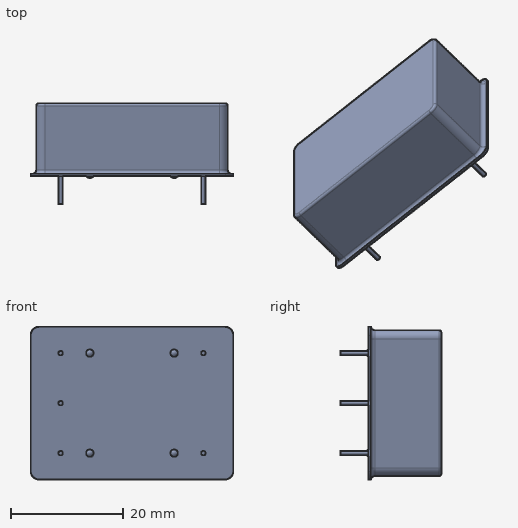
import cadquery as cq

overall_depth = 18.0
tolerance = 0.1

plate_width = 36.1
plate_height = 27.2
plate_thickness = 0.44
plate_corner_radius = 1.5

body_depth = 13.01
can_width = 34.1
can_height = 26.0
can_corner_radius = 1.5
can_edge_radius = 0.5
foot_radius = 0.7

pin_diameter = 0.8
pin_length = overall_depth - body_depth
pin_x = 12.7
pin_z = 8.9
pin_points = [(-pin_x, -pin_z), (-pin_x, 0), (-pin_x, pin_z), (pin_x, -pin_z), (pin_x, pin_z)]

dome_diameter = 1.33
dome_height = 0.35
dome_x = 7.5
dome_points = [(x, z) for x in (-dome_x, dome_x) for z in (-pin_z, pin_z)]


def block(width, height, depth):
    """Block centred on the Y axis, reaching from Y = 0 to Y = depth."""
    return cq.Workplane("XY").box(width, depth, height, centered=(True, False, True))


def rounded_block(width, height, depth, corner_radius):
    """Block with its four Y-direction edges rounded."""
    return block(width, height, depth).edges("|Y").fillet(corner_radius)


def make_body():
    """Plate and can joined by a concave fillet that is trimmed at the plate outline."""
    can = rounded_block(can_width, can_height, body_depth, can_corner_radius)
    can = can.faces(">Y").edges().fillet(can_edge_radius)

    wide_plate = block(plate_width + 2 * foot_radius, plate_height + 2 * foot_radius, plate_thickness)
    can_foot = cq.selectors.BoxSelector(
        (-can_width / 2 - tolerance, plate_thickness - tolerance, -can_height / 2 - tolerance),
        (can_width / 2 + tolerance, plate_thickness + tolerance, can_height / 2 + tolerance),
    )
    body = wide_plate.union(can).edges(can_foot).fillet(foot_radius)

    outline = rounded_block(plate_width, plate_height, body_depth, plate_corner_radius)
    return body.intersect(outline)


def make_pin():
    """Pin along the Y axis, from the plate face to its free end."""
    return cq.Workplane("XZ").circle(pin_diameter / 2).extrude(pin_length)


def make_dome():
    """Spherical cap on the plate face, with a short root sunk into the plate."""
    base_radius = dome_diameter / 2
    root_depth = plate_thickness / 2
    sphere_radius = (base_radius**2 + dome_height**2) / (2 * dome_height)
    profile = (
        cq.Workplane("XY")
        .moveTo(0, root_depth)
        .lineTo(base_radius, root_depth)
        .lineTo(base_radius, 0)
        .radiusArc((0, -dome_height), sphere_radius)
        .close()
    )
    return profile.revolve(360, (0, 0), (0, 1))


result = make_body()
for x, z in pin_points:
    result = result.union(make_pin().translate((x, 0, z)))
for x, z in dome_points:
    result = result.union(make_dome().translate((x, 0, z)))